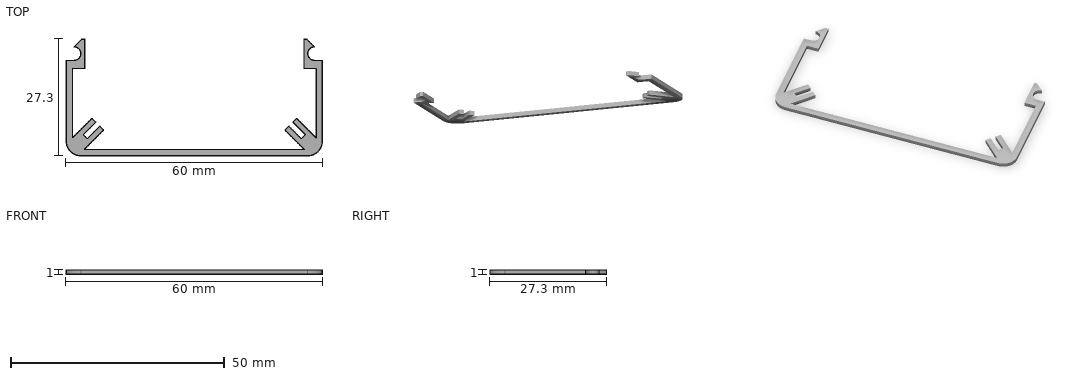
import cadquery as cq
import math

width = 60.0
height = 27.3
thickness = 1.0

wall = 1.5
corner_radius = 3.5

hook_height = 4.9
hook_inset = 4.4
shelf_thickness = 2.0
barb_height = 1.8
barb_inset = 1.85
relief_radius = (hook_height - barb_height) / 2
shoulder_y = height - hook_height

post_root = 4.25
post_width = (post_root - wall) * math.sqrt(2)
post_length = 6.4
slot_width = 1.3
slot_depth = 4.15
post_start = (post_root + wall) / math.sqrt(2)
post_tip = post_start + post_length

half_width = width / 2


def make_frame():
    """U-shaped frame with rounded outer corners and sharp inner corners."""
    outer = (
        cq.Workplane("XY")
        .box(width, shoulder_y, thickness, centered=(True, False, False))
        .edges("|Z and <Y")
        .fillet(corner_radius)
    )
    cavity = (
        cq.Workplane("XY")
        .box(width - 2 * wall, shoulder_y, thickness, centered=(True, False, False))
        .translate((0, wall, 0))
    )
    return outer.cut(cavity)


def make_left_hook():
    """Inward shelf carrying a barbed hook with a half-round relief."""
    outer_x = -half_width
    inner_x = outer_x + hook_inset
    barb_x = outer_x + barb_inset
    barb_y = height - barb_height
    return (
        cq.Workplane("XY")
        .moveTo(outer_x, shoulder_y - shelf_thickness)
        .lineTo(inner_x, shoulder_y - shelf_thickness)
        .lineTo(inner_x, height)
        .lineTo(barb_x + barb_height, height)
        .lineTo(barb_x, barb_y)
        .threePointArc((barb_x + relief_radius, barb_y - relief_radius), (barb_x, shoulder_y))
        .lineTo(outer_x, shoulder_y)
        .close()
        .extrude(thickness)
    )


def make_left_post():
    """Diagonal post filling the corner, with a slot between two prongs."""
    corner_fill = (
        cq.Workplane("XY")
        .polyline([(wall, wall), (post_root, wall), (wall, post_root)])
        .close()
        .extrude(thickness)
    )
    bar = (
        cq.Workplane("XY")
        .box(post_length, post_width, thickness, centered=(False, True, False))
        .translate((post_start, 0, 0))
    )
    slot = (
        cq.Workplane("XY")
        .box(slot_depth, slot_width, thickness, centered=(False, True, False))
        .translate((post_tip - slot_depth, 0, 0))
    )
    post = bar.cut(slot).rotate((0, 0, 0), (0, 0, 1), 45)
    return post.union(corner_fill).translate((-half_width, 0, 0))


left_details = make_left_hook().union(make_left_post())
right_details = left_details.mirror("YZ")
result = make_frame().union(left_details).union(right_details)